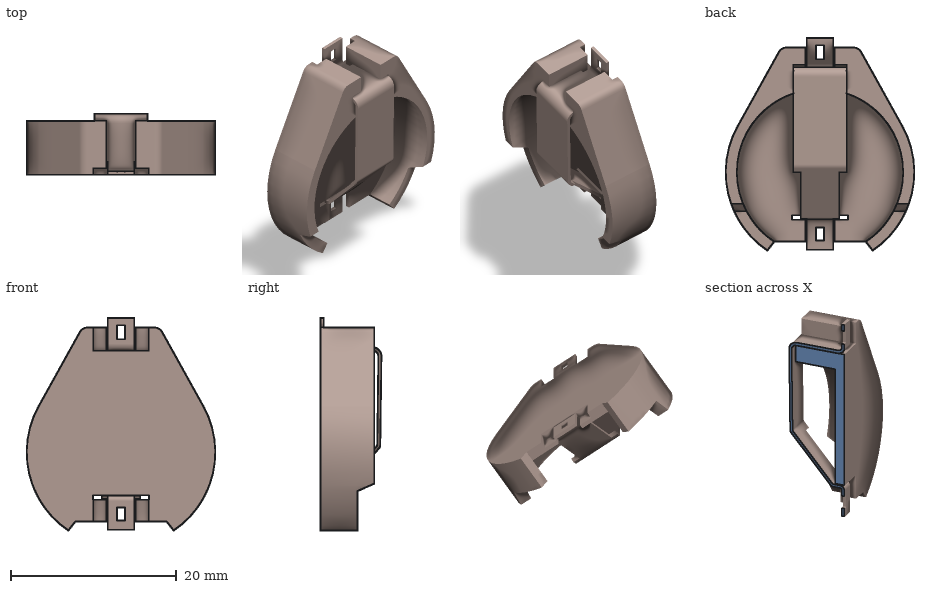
import cadquery as cq
import math


BODY_RADIUS = 11.382
BODY_DEPTH = 6.5
TOP_Z = 15.05
TOP_CORNER_RADIUS = 1.1
FLANK_X = 9.95
FLANK_Z = math.sqrt(BODY_RADIUS**2 - FLANK_X**2)
CELL_RADIUS = 10.03
FLOOR_THICKNESS = 1.3
FLOOR_END_Z = -8.38
WALL_TIP_Z = -9.45
WALL_TIP_X = math.sqrt(BODY_RADIUS**2 - WALL_TIP_Z**2)
FLOOR_END_X = math.sqrt(CELL_RADIUS**2 - FLOOR_END_Z**2)
LIP_DEPTH = 4.47
LIP_Z = -4.7
LIP_SLOPE_Z = -3.8

RECESS_WIDTH = 6.75
RECESS_DEPTH = 0.8
SLOT_WIDTH = 3.5
UPPER_SLOT_Z = 12.26
STRAP_PASSAGE_HEIGHT = 0.7
LOWER_WINDOW_TOP_Z = -5.2
LOWER_WINDOW_BOTTOM_Z = -5.71

SHEET = 0.4
TAB_WIDTH = 3.2
STRAP_WIDTH = 6.4
FOOT_WIDTH = 4.66
FOOT_CORNER_RADIUS = 0.4
UPPER_WIDENING_Y = 1.6
LOWER_WIDENING_Y = RECESS_DEPTH
UPPER_TAB_END_Z = 16.2
LOWER_TAB_END_Z = -9.36
LOWER_LEDGE_TOP_Z = -5.26
STRAP_TOP_Y = 7.182
STRAP_BOTTOM_Y = 7.03
STRAP_BOTTOM_Z = 0.73
RETURN_ANGLE = 49.0
HOLE_WIDTH = 0.93
UPPER_HOLE_Z = (13.63, 15.29)
LOWER_HOLE_Z = (-8.23, -6.67)
BEND_RADII = [0.4, 0.7, 0.3, 0.2, 0.2]

MARGIN = 5.0


def block(width, y_range, z_range):
    """Box centred on x = 0 between the given Y and Z limits."""
    depth = y_range[1] - y_range[0]
    height = z_range[1] - z_range[0]
    box = cq.Workplane("XY").box(width, depth, height, centered=(True, False, False))
    return box.translate((0, y_range[0], z_range[0]))


def along_y(y_start):
    """XZ sketch plane at the given Y that extrudes toward +Y."""
    return cq.Workplane(cq.Plane(origin=(0, y_start, 0), xDir=(-1, 0, 0), normal=(0, 1, 0)))


def teardrop_blank():
    top_x = (BODY_RADIUS**2 - FLANK_Z * TOP_Z) / FLANK_X
    blank = (
        along_y(0)
        .moveTo(top_x, TOP_Z)
        .lineTo(FLANK_X, FLANK_Z)
        .threePointArc((BODY_RADIUS, 0), (WALL_TIP_X, WALL_TIP_Z))
        .lineTo(FLOOR_END_X, FLOOR_END_Z)
        .lineTo(-FLOOR_END_X, FLOOR_END_Z)
        .lineTo(-WALL_TIP_X, WALL_TIP_Z)
        .threePointArc((-BODY_RADIUS, 0), (-FLANK_X, FLANK_Z))
        .lineTo(-top_x, TOP_Z)
        .close()
        .extrude(BODY_DEPTH)
    )
    top_corners = cq.selectors.BoxSelector(
        (-top_x - 1, -1, TOP_Z - 0.1), (top_x + 1, BODY_DEPTH + 1, TOP_Z + 0.1)
    )
    return blank.edges("|Y").edges(top_corners).fillet(TOP_CORNER_RADIUS)


def cell_pocket():
    return along_y(FLOOR_THICKNESS).circle(CELL_RADIUS).extrude(BODY_DEPTH)


def insertion_step():
    """Material removed behind the lowered lip and its sloped shoulder."""
    return (
        cq.Workplane("YZ")
        .moveTo(LIP_DEPTH, WALL_TIP_Z - MARGIN)
        .lineTo(LIP_DEPTH, LIP_Z)
        .lineTo(BODY_DEPTH, LIP_SLOPE_Z)
        .lineTo(BODY_DEPTH + MARGIN, LIP_SLOPE_Z)
        .lineTo(BODY_DEPTH + MARGIN, WALL_TIP_Z - MARGIN)
        .close()
        .extrude(BODY_RADIUS + MARGIN, both=True)
    )


def terminal_openings():
    through = (-MARGIN, BODY_DEPTH + MARGIN)
    recess = (-MARGIN, RECESS_DEPTH)
    floor = (-MARGIN, FLOOR_THICKNESS + SHEET)
    passage = (UPPER_WIDENING_Y, BODY_DEPTH + MARGIN)
    upper_z = (UPPER_SLOT_Z, TOP_Z + MARGIN)
    passage_z = (UPPER_SLOT_Z, UPPER_SLOT_Z + STRAP_PASSAGE_HEIGHT)
    lower_z = (FLOOR_END_Z - MARGIN, LOWER_WINDOW_TOP_Z)
    window_z = (LOWER_WINDOW_BOTTOM_Z, LOWER_WINDOW_TOP_Z)
    return [
        block(RECESS_WIDTH, recess, upper_z),
        block(SLOT_WIDTH, through, upper_z),
        block(STRAP_WIDTH, passage, passage_z),
        block(RECESS_WIDTH, recess, lower_z),
        block(SLOT_WIDTH, floor, lower_z),
        block(RECESS_WIDTH, floor, window_z),
    ]


def make_housing(contact_body):
    body = teardrop_blank().cut(cell_pocket()).cut(insertion_step())
    for opening in terminal_openings():
        body = body.cut(opening)
    return body.cut(contact_body)


def sheet_profile(path, bend_radii):
    """YZ face of a bent strip of thickness SHEET whose mid-line follows the path."""
    points = [cq.Vector(y, z) for y, z in path]
    runs = [(b - a).normalized() for a, b in zip(points, points[1:])]
    half = SHEET / 2

    def side(sign):
        """Corners of one face as (tangent in, arc middle, tangent out), ends as points."""
        normals = [cq.Vector(-run.y, run.x) * sign for run in runs]
        outline = [(points[0] + normals[0] * half,)]
        for i, radius in enumerate(bend_radii):
            turn = runs[i].getAngle(runs[i + 1])
            inside = runs[i].cross(runs[i + 1]).z * sign > 0
            face_radius = radius if inside else radius + SHEET
            bisector = (normals[i] + normals[i + 1]).normalized()
            corner = points[i + 1] + bisector * (half / math.cos(turn / 2))
            setback = face_radius * math.tan(turn / 2)
            sagitta = face_radius * (1 / math.cos(turn / 2) - 1)
            middle = corner + bisector * (sagitta if inside else -sagitta)
            outline.append((corner - runs[i] * setback, middle, corner + runs[i + 1] * setback))
        outline.append((points[-1] + normals[-1] * half,))
        return outline

    left = side(1)
    right = [corner[::-1] for corner in reversed(side(-1))]
    corners = left + right
    profile = cq.Workplane("YZ").moveTo(*corners[0][0].toTuple()[:2])
    for corner in corners[1:]:
        flat = [point.toTuple()[:2] for point in corner]
        profile = profile.lineTo(*flat[0])
        if len(flat) > 1:
            profile = profile.threePointArc(flat[1], flat[2])
    return profile.close()


def contact_path():
    """Mid-line of the strip: upper tab, ledge, strap, return, ledge, lower tab."""
    half = SHEET / 2
    upper_ledge_z = UPPER_SLOT_Z + half
    lower_ledge_z = LOWER_LEDGE_TOP_Z - half
    return_drop = STRAP_BOTTOM_Z - lower_ledge_z
    return_end_y = STRAP_BOTTOM_Y - return_drop / math.tan(math.radians(RETURN_ANGLE))
    return [
        (half, UPPER_TAB_END_Z),
        (half, upper_ledge_z),
        (STRAP_TOP_Y, upper_ledge_z),
        (STRAP_BOTTOM_Y, STRAP_BOTTOM_Z),
        (return_end_y, lower_ledge_z),
        (half, lower_ledge_z),
        (half, LOWER_TAB_END_Z),
    ]


def width_stencil():
    """Front outline of the strip: narrow tabs, wide strap, rounded foot."""
    back = BODY_DEPTH + MARGIN
    upper = (0, UPPER_TAB_END_Z + MARGIN)
    lower = (LOWER_TAB_END_Z - MARGIN, 0)
    strap = block(STRAP_WIDTH, (UPPER_WIDENING_Y, back), upper)
    foot = block(FOOT_WIDTH, (LOWER_WIDENING_Y, back), lower)
    foot = foot.edges("|Z and <Y").fillet(FOOT_CORNER_RADIUS)
    tabs = block(TAB_WIDTH, (-MARGIN, back), (lower[0], upper[1]))
    return tabs.union(strap).union(foot)


def make_contact():
    strip = sheet_profile(contact_path(), BEND_RADII).extrude(STRAP_WIDTH / 2, both=True)
    strip = strip.intersect(width_stencil())
    for hole_z in (UPPER_HOLE_Z, LOWER_HOLE_Z):
        strip = strip.cut(block(HOLE_WIDTH, (-SHEET, 2 * SHEET), hole_z))
    return strip


contact = make_contact()
housing = make_housing(contact)

result = cq.Compound.makeCompound([housing.solids().val(), contact.solids().val()])